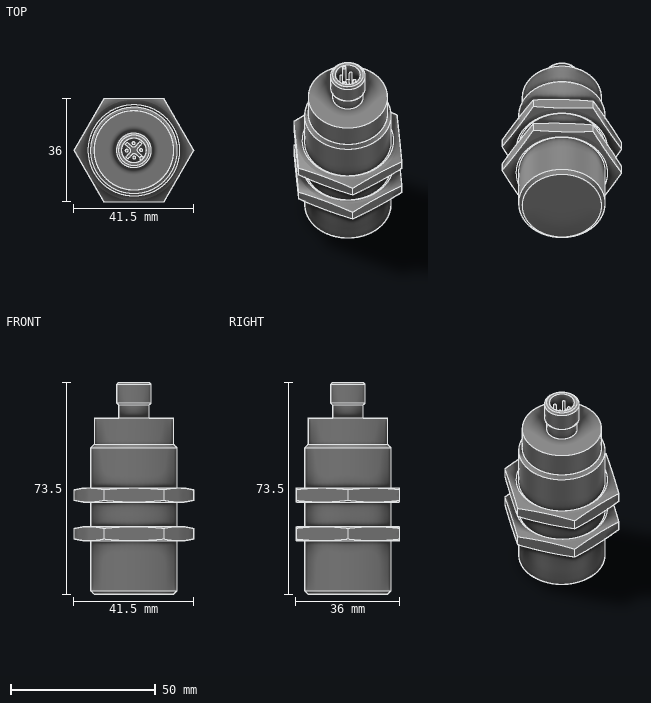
import cadquery as cq
import math

total_height = 73.5
cap_top_z = 61.1

barrel_diameter = 30.0
cap_diameter = 27.5
face_diameter = cap_diameter
barrel_bevel = 1.2
face_bevel = (barrel_diameter - face_diameter) / 2
cap_base_z = 52.0

plug_diameter = 12.0
neck_diameter = 10.6
plug_bevel = (plug_diameter - neck_diameter) / 2
plug_base_z = 65.6

socket_diameter = 8.5
socket_mouth_diameter = 8.6
socket_mouth_depth = 0.5
socket_depth = 8.0
socket_floor_z = total_height - socket_depth

contact_twist = 2.5
pin_count = 4
pin_diameter = 1.0
pin_circle_radius = 2.5
pin_top_depth = 1.6
pin_tip_radius = 0.45
key_diameter = 1.3
key_angle = -45.0
key_circle_radius = 3.85
key_top_depth = socket_mouth_depth
cross_length = 7.2
cross_width = 1.0
cross_angle = 45.0
cross_height = 0.3
cross_corner_radius = 1.0

nut_sides = 6
nut_across_flats = 35.95
nut_height = 5.0
nut_base_heights = (18.5, 31.9)
nut_face_diameter = 34.9
nut_corner_drop = 0.65
nut_countersink_diameter = 31.7
nut_countersink_depth = (nut_countersink_diameter - barrel_diameter) / 2


def turned(profile):
    """Solid of revolution about Z from (radius, height) points, closed along the axis."""
    axis_points = [(0, profile[-1][1]), (0, profile[0][1])]
    outline = cq.Workplane("XZ").polyline(profile + axis_points).close()
    return outline.revolve(360, (0, 0, 0), (0, 1, 0))


def housing_blank():
    """Barrel, cap, neck and plug as one turned shape, with a fine ledge at the base of the cap."""
    barrel_radius = barrel_diameter / 2
    cap_radius = cap_diameter / 2
    neck_radius = neck_diameter / 2
    plug_radius = plug_diameter / 2
    return turned([
        (face_diameter / 2, 0),
        (barrel_radius, face_bevel),
        (barrel_radius, cap_base_z - barrel_bevel),
        (barrel_radius - barrel_bevel, cap_base_z),
        (cap_radius, cap_base_z),
        (cap_radius, cap_top_z),
        (neck_radius, cap_top_z),
        (neck_radius, plug_base_z),
        (plug_radius, plug_base_z + plug_bevel),
        (plug_radius, total_height - plug_bevel),
        (plug_radius - plug_bevel, total_height),
    ])


def socket_cavity():
    """Round socket with a slightly flared mouth."""
    socket_radius = socket_diameter / 2
    return turned([
        (socket_radius, socket_floor_z),
        (socket_radius, total_height - socket_mouth_depth),
        (socket_mouth_diameter / 2, total_height),
    ])


def contact_pins():
    """Four contact pins with rounded tips, standing on the socket floor."""
    pin_length = socket_depth - pin_top_depth
    return (
        cq.Workplane("XY", origin=(0, 0, socket_floor_z))
        .polarArray(pin_circle_radius, 0, 360, pin_count)
        .circle(pin_diameter / 2)
        .extrude(pin_length)
        .faces(">Z")
        .fillet(pin_tip_radius)
    )


def coding_key():
    """Round rib that stands on the socket floor and merges into the socket wall."""
    rib = (
        cq.Workplane("XY", origin=(key_circle_radius, 0, socket_floor_z))
        .circle(key_diameter / 2)
        .extrude(socket_depth - key_top_depth)
    )
    return rib.rotate((0, 0, 0), (0, 0, 1), key_angle)


def floor_cross():
    """Low diagonal cross between the pins, with rounded inner corners."""
    floor = cq.Workplane("XY", origin=(0, 0, socket_floor_z))
    first_bar = floor.rect(cross_length, cross_width).extrude(cross_height)
    second_bar = floor.rect(cross_width, cross_length).extrude(cross_height)
    inner_corner_box = cq.selectors.BoxSelector(
        (-cross_width, -cross_width, socket_floor_z - cross_height),
        (cross_width, cross_width, socket_floor_z + 2 * cross_height),
    )
    cross = first_bar.union(second_bar).edges("|Z").edges(inner_corner_box).fillet(cross_corner_radius)
    return cross.rotate((0, 0, 0), (0, 0, 1), cross_angle)


def make_housing():
    contacts = contact_pins().union(floor_cross())
    contacts = contacts.rotate((0, 0, 0), (0, 0, 1), contact_twist)
    return housing_blank().cut(socket_cavity()).union(contacts).union(coding_key())


def make_nut(base_z):
    """Hexagon nut with conical corner bevels and a countersunk bore on both faces."""
    corner_radius = nut_across_flats / math.sqrt(3)
    hexagon = cq.Workplane("XY").polygon(nut_sides, 2 * corner_radius).extrude(nut_height)
    bevel_envelope = turned([
        (nut_face_diameter / 2, 0),
        (corner_radius, nut_corner_drop),
        (corner_radius, nut_height - nut_corner_drop),
        (nut_face_diameter / 2, nut_height),
    ])
    bore_radius = barrel_diameter / 2
    bore = turned([
        (nut_countersink_diameter / 2, 0),
        (bore_radius, nut_countersink_depth),
        (bore_radius, nut_height - nut_countersink_depth),
        (nut_countersink_diameter / 2, nut_height),
    ])
    return hexagon.intersect(bevel_envelope).cut(bore).translate((0, 0, base_z))


housing = make_housing()
nuts = [make_nut(base_z) for base_z in nut_base_heights]

result = cq.Compound.makeCompound([housing.val(), *[nut.val() for nut in nuts]])